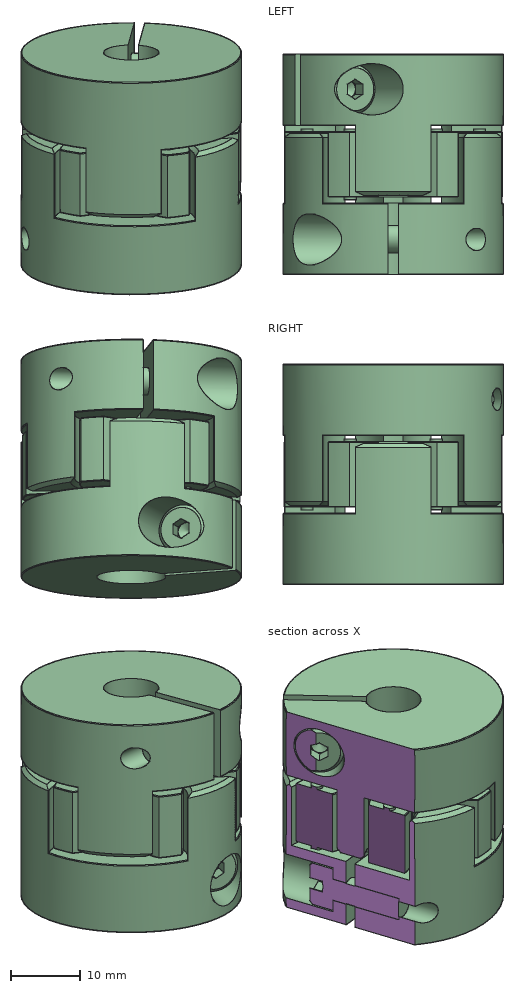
import cadquery as cq
import math

outer_radius = 16.0
half_length = 16.0
jaw_count = 3
jaw_pitch = 360 / jaw_count

hub_face_z = 5.6
hub_thickness = half_length - hub_face_z
upper_bore_radius = 4.0
lower_bore_radius = 5.0
rim_chamfer = 0.13
slot_width = 1.5

jaw_tip_z = 4.48
jaw_inner_radius = 9.0
jaw_outer_half_width = 5.6
jaw_inner_half_width = 1.45
jaw_flank_sag = 0.8
jaw_tip_chamfer = 0.58

spider_half_thickness = 4.77
spider_bore_radius = 7.05
spider_ring_radius = 8.8
spider_outer_radius = 15.8
leg_count = 2 * jaw_count
leg_pitch = 360 / leg_count
leg_edge_chamfer = 0.13
leg_root_half_width = 2.4
leg_tip_half_width = 1.75
leg_flank_sag = 1.02
pad_radius = 0.88
pad_height = 0.4
pad_place_radius = 12.48

screw_place_radius = 10.43
screw_z = -10.88
shank_radius = 2.0
shank_end = -8.32
head_radius = 3.6
head_height = 4.0
head_top = 7.05
head_seat = head_top - head_height
head_chamfer = 0.48
socket_width = 2.53
socket_depth = 2.15
socket_cone_depth = 0.75
counterbore_radius = 3.7
tip_hole_radius = 1.615
overshoot = 0.65
tolerance = 0.003

flip_angle = 150.0
flip_axis = (math.cos(math.radians(flip_angle)), math.sin(math.radians(flip_angle)), 0)


def place_half(body, is_upper):
    """Leave a lower body where it is, or turn it over into the upper half."""
    return body.rotate((0, 0, 0), flip_axis, 180) if is_upper else body


def screw_axis_plane(distance):
    """Plane square to the screw axis, facing the head, at a distance from the slot's mid-plane."""
    return cq.Plane(
        origin=(-screw_place_radius, distance, screw_z), xDir=(1, 0, 0), normal=(0, 1, 0)
    )


def screw_cylinder(start, end, radius):
    """Cylinder on the screw axis between two distances."""
    return cq.Workplane(screw_axis_plane(start)).circle(radius).extrude(end - start)


def make_jaw():
    """Prism of one jaw along +X with hollow flanks, running past the outer surface."""
    outer_x = math.sqrt(outer_radius**2 - jaw_outer_half_width**2)
    inner_x = math.sqrt(jaw_inner_radius**2 - jaw_inner_half_width**2)
    end_x = outer_radius + overshoot
    return (
        cq.Workplane("XY", origin=(0, 0, -hub_face_z))
        .moveTo(inner_x, -jaw_inner_half_width)
        .sagittaArc((outer_x, -jaw_outer_half_width), jaw_flank_sag)
        .lineTo(end_x, -jaw_outer_half_width)
        .lineTo(end_x, jaw_outer_half_width)
        .lineTo(outer_x, jaw_outer_half_width)
        .sagittaArc((inner_x, jaw_inner_half_width), jaw_flank_sag)
        .threePointArc((jaw_inner_radius, 0), (inner_x, -jaw_inner_half_width))
        .close()
        .extrude(hub_face_z + jaw_tip_z)
    )


def is_arc_of_radius(edge, radius):
    """Whether an edge is a circular arc of this radius."""
    return edge.geomType() == "CIRCLE" and math.isclose(edge.radius(), radius, abs_tol=tolerance)


def is_hub_rim(edge):
    """Whether an edge bounds the outer surface of a hub below the jaw tip bevels."""
    middle = edge.Center()
    if middle.z > jaw_tip_z - jaw_tip_chamfer - tolerance:
        return False
    if edge.geomType() == "LINE":
        return math.isclose(math.hypot(middle.x, middle.y), outer_radius, abs_tol=tolerance)
    return is_arc_of_radius(edge, outer_radius)


def hub_cylinder(radius, height):
    """Upright cylinder standing on the outer end face of the lower hub."""
    return cq.Workplane("XY", origin=(0, 0, -half_length)).circle(radius).extrude(height)


def make_hub(bore_radius):
    """Lower hub: bored disc with three jaws, a clamping slot and the stepped screw hole."""
    hub = hub_cylinder(outer_radius + overshoot, hub_thickness)
    jaw = make_jaw()
    for index in range(jaw_count):
        hub = hub.union(jaw.rotate((0, 0, 0), (0, 0, 1), index * jaw_pitch))
    hub = hub.intersect(hub_cylinder(outer_radius, half_length + jaw_tip_z))
    tip_edges = hub.edges(">Z").filter(lambda edge: not is_arc_of_radius(edge, jaw_inner_radius))
    hub = tip_edges.chamfer(jaw_tip_chamfer)
    rim_edges = hub.edges().filter(is_hub_rim)
    hub = rim_edges.chamfer(rim_chamfer)
    slot = cq.Workplane("XY", origin=(-outer_radius / 2, 0, -half_length)).box(
        outer_radius, slot_width, hub_thickness, centered=(True, True, False)
    )
    counterbore = screw_cylinder(head_seat, outer_radius, counterbore_radius)
    shank_hole = screw_cylinder(shank_end, head_seat, shank_radius)
    tip_hole = screw_cylinder(-outer_radius, shank_end, tip_hole_radius)
    hub = hub.cut(hub_cylinder(bore_radius, hub_thickness)).cut(slot)
    return hub.cut(counterbore).cut(shank_hole).cut(tip_hole)


def make_screw():
    """Lower socket-head screw."""
    head = screw_cylinder(head_seat, head_top, head_radius).faces(">Y").edges().chamfer(head_chamfer)
    socket = (
        cq.Workplane(screw_axis_plane(head_top))
        .polygon(6, socket_width, circumscribed=True)
        .extrude(-socket_depth)
    )
    socket_cone = cq.Workplane(
        cq.Solid.makeCone(
            socket_width / 2,
            0,
            socket_cone_depth,
            pnt=cq.Vector(-screw_place_radius, head_top - socket_depth, screw_z),
            dir=cq.Vector(0, -1, 0),
        )
    )
    shank = screw_cylinder(shank_end, head_seat, shank_radius)
    return head.union(shank).cut(socket).cut(socket_cone)


def make_leg():
    """Barrel-shaped spider leg along +X, starting inside the ring."""
    leg_start_x = (spider_bore_radius + spider_ring_radius) / 2
    root_x = math.sqrt(spider_ring_radius**2 - leg_root_half_width**2)
    tip_x = math.sqrt(spider_outer_radius**2 - leg_tip_half_width**2)
    return (
        cq.Workplane("XY", origin=(0, 0, -spider_half_thickness))
        .moveTo(leg_start_x, -leg_root_half_width)
        .lineTo(root_x, -leg_root_half_width)
        .sagittaArc((tip_x, -leg_tip_half_width), -leg_flank_sag)
        .threePointArc((spider_outer_radius, 0), (tip_x, leg_tip_half_width))
        .sagittaArc((root_x, leg_root_half_width), -leg_flank_sag)
        .lineTo(leg_start_x, leg_root_half_width)
        .close()
        .extrude(2 * spider_half_thickness)
        .faces("|Z")
        .edges()
        .chamfer(leg_edge_chamfer)
    )


def make_pad(start_z, end_z):
    """Round spacer pad on the axis of a leg along +X."""
    return (
        cq.Workplane("XY", origin=(pad_place_radius, 0, start_z))
        .circle(pad_radius)
        .extrude(end_z - start_z)
    )


def make_spider():
    """Ring with six legs between the jaws: a pad on every upper face, on every other lower face."""
    spider = (
        cq.Workplane("XY", origin=(0, 0, -spider_half_thickness))
        .circle(spider_ring_radius)
        .circle(spider_bore_radius)
        .extrude(2 * spider_half_thickness)
    )
    leg = make_leg()
    leg_angles = [(index + 0.5) * leg_pitch for index in range(leg_count)]
    for angle in leg_angles:
        spider = spider.union(leg.rotate((0, 0, 0), (0, 0, 1), angle))
    pad_top = spider_half_thickness + pad_height
    for index, angle in enumerate(leg_angles):
        pad_bottom = -pad_top if index % 2 == 0 else 0
        spider = spider.union(make_pad(pad_bottom, pad_top).rotate((0, 0, 0), (0, 0, 1), angle))
    return spider


lower_screw = make_screw()
hubs = []
screws = []
for is_upper, bore_radius in ((False, lower_bore_radius), (True, upper_bore_radius)):
    hubs.append(place_half(make_hub(bore_radius), is_upper).val())
    screws.append(place_half(lower_screw, is_upper).val())
spider = make_spider()

result = cq.Compound.makeCompound([*hubs, spider.val(), *screws])